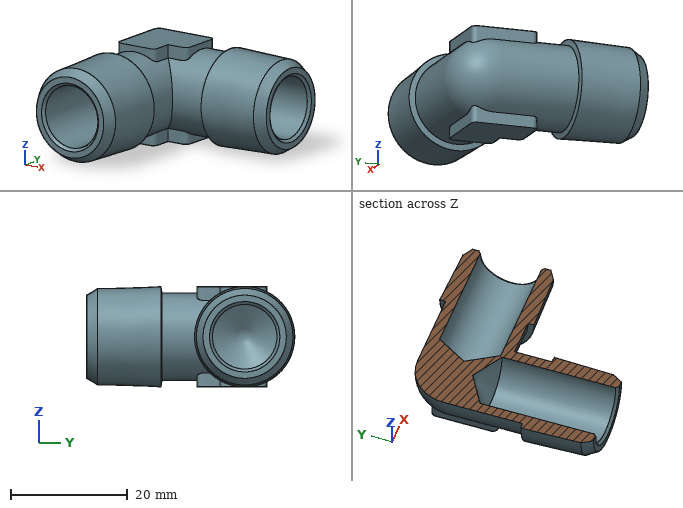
import cadquery as cq
import math

overall_length = 35.6
collar_radius = 8.58
branch_length = overall_length - collar_radius
neck_radius = 7.5

collar_start = 14.13
collar_peak = 14.3
taper_end = 25.13
taper_end_radius = 8.25
nose_radius = 7.12

bore_radius = 5.5
bore_mouth_radius = 6.0
mouth_chamfer = bore_mouth_radius - bore_radius
bore_gap = 0.35
bore_floor = bore_radius + bore_gap
drill_tip_angle = 118.0
bore_cone_depth = bore_radius / math.tan(math.radians(drill_tip_angle / 2))

pad_outer_edge = 3.8
pad_length = 12.0
pad_arm_width = 8.0
pad_corner_radius = 1.0
pad_half_height = collar_radius


def revolve_about_x(points):
    return cq.Workplane("XY").polyline(points).close().revolve(360, (0, 0, 0), (1, 0, 0))


def both_branches(branch):
    """Combine a shape along +X with its copy turned onto -Y."""
    return branch.union(branch.rotate((0, 0, 0), (0, 0, 1), -90))


def outer_branch():
    return revolve_about_x([
        (0, 0),
        (0, neck_radius),
        (collar_start, neck_radius),
        (collar_peak, collar_radius),
        (taper_end, taper_end_radius),
        (branch_length, nose_radius),
        (branch_length, 0),
    ])


def bore():
    return revolve_about_x([
        (bore_floor - bore_cone_depth, 0),
        (bore_floor, bore_radius),
        (branch_length - mouth_chamfer, bore_radius),
        (branch_length, bore_mouth_radius),
        (branch_length, 0),
    ])


def pads():
    """L-shaped prism through the corner; only its ends stand out of the round body."""
    arm_along_x = (
        cq.Workplane("XY")
        .box(pad_length, pad_arm_width, 2 * pad_half_height)
        .edges("|Z")
        .fillet(pad_corner_radius)
        .translate((pad_length / 2 - pad_outer_edge, pad_outer_edge - pad_arm_width / 2, 0))
    )
    arm_along_y = arm_along_x.rotate((0, 0, 0), (1, -1, 0), 180)
    return arm_along_x.union(arm_along_y)


corner = cq.Workplane("XY").sphere(neck_radius)
body = both_branches(outer_branch()).union(corner).union(pads())
result = body.cut(both_branches(bore()))